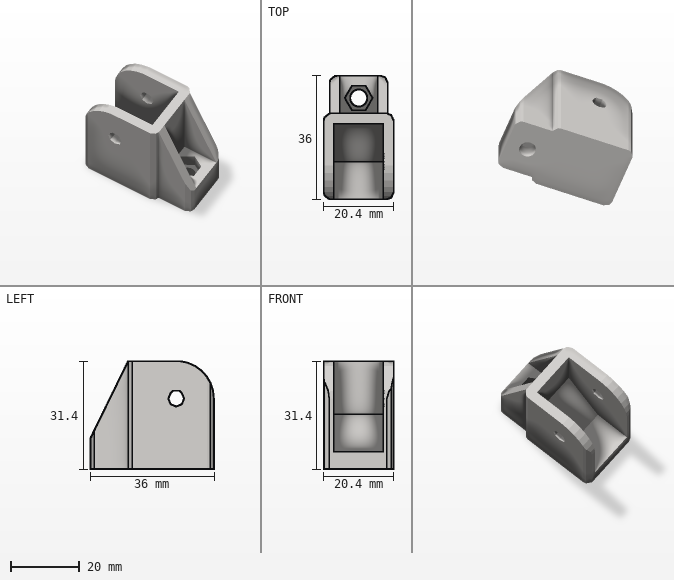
import cadquery as cq
import math

width = 20.4
length = 36.0
height = 31.45
wall = 3.0
floor = 5.0
body_length = 25.0
lug_width = 17.0
lug_base_height = 9.0

corner_radius = 2.0
corner_sides = 7

nose_radius = 11.0
nose_sides = 30

pivot_diameter = 4.55
pivot_sides = 8
ramp_size = 11.0

screw_diameter = 4.9
nut_across_flats = 7.02
screw_to_rear = 6.48

nose_step = 2 * math.pi / nose_sides
pivot_y = nose_radius
pivot_z = height - nose_radius * math.cos(nose_step / 2)
cavity_width = width - 2 * wall
cavity_back = body_length - wall
lug_gap = lug_width - 2 * wall
screw_y = length - screw_to_rear


def corner_points(x_sign, y_sign):
    """Offsets from the centre of one corner, ordered from its X side to its Y side."""
    points = [(x_sign * corner_radius, 0)]
    vertices = []
    for k in range(1, corner_sides):
        angle = 2 * math.pi * k / corner_sides
        vertex = (corner_radius * math.cos(angle), corner_radius * math.sin(angle))
        if vertex[0] * x_sign > 0 and vertex[1] * y_sign > 0:
            vertices.append(vertex)
    points += sorted(vertices, key=lambda vertex: abs(vertex[1]))
    points.append((0, y_sign * corner_radius))
    return points


def rounded_block(block_width, y_front, y_back):
    """Full-height block, centred on X, with faceted vertical corners."""
    outline = []
    for x_sign, y_sign in ((1, -1), (1, 1), (-1, 1), (-1, -1)):
        center_x = x_sign * (block_width / 2 - corner_radius)
        center_y = (y_front if y_sign < 0 else y_back) - y_sign * corner_radius
        corner = corner_points(x_sign, y_sign)
        if x_sign != y_sign:
            corner.reverse()
        outline += [(center_x + dx, center_y + dy) for dx, dy in corner]
    return cq.Workplane("XY").polyline(outline).close().extrude(height)


def side_prism(points, prism_width):
    """Prism from (Y, Z) points, centred on X."""
    return cq.Workplane("YZ").polyline(points).close().extrude(prism_width / 2, both=True)


def side_envelope():
    """Silhouette across X: faceted nose in front, sloping lug behind."""
    nose = []
    for k in range(nose_sides // 4 + 1):
        angle = k * nose_step
        nose.append((pivot_y - nose_radius * math.cos(angle), pivot_z + nose_radius * math.sin(angle)))
    rear = [(body_length, height), (length, lug_base_height), (length, 0)]
    return side_prism([(0, 0)] + nose + rear, width)


def cavity():
    """Slot between the cheeks, open in front and on top, with a ramp at the back."""
    return side_prism(
        [
            (0, floor),
            (cavity_back - ramp_size, floor),
            (cavity_back, floor + ramp_size),
            (cavity_back, height),
            (0, height),
        ],
        cavity_width,
    )


def pivot_hole():
    """Octagonal cross hole with 45 degree shoulders and a flat roof."""
    radius = pivot_diameter / 2
    step = 2 * math.pi / pivot_sides
    shoulder = radius * math.cos(step)
    roof_half = 2 * shoulder - radius
    offsets = [(radius * math.cos(k * step), radius * math.sin(k * step)) for k in range(-5, 2)]
    offsets += [(roof_half, radius), (-roof_half, radius)]
    return side_prism([(pivot_y + dy, pivot_z + dz) for dy, dz in offsets], width)


def lug_cuts():
    """Gap between the gussets, nut pocket in the seat and screw hole through it."""
    gap = cq.Workplane("XY").box(
        lug_gap, length - body_length, height - lug_base_height, centered=(True, False, False)
    ).translate((0, body_length, lug_base_height))
    nut_across_corners = nut_across_flats / math.cos(math.pi / 6)
    nut = (
        cq.Workplane("XY", origin=(0, screw_y, floor))
        .polygon(6, nut_across_corners)
        .extrude(lug_base_height - floor)
    )
    screw = cq.Workplane("XY", origin=(0, screw_y, 0)).circle(screw_diameter / 2).extrude(height)
    return gap.union(nut).union(screw)


body = rounded_block(width, 0, body_length)
lug = rounded_block(lug_width, cavity_back, length)
outer = body.union(lug).intersect(side_envelope())

result = outer.cut(cavity()).cut(pivot_hole()).cut(lug_cuts())